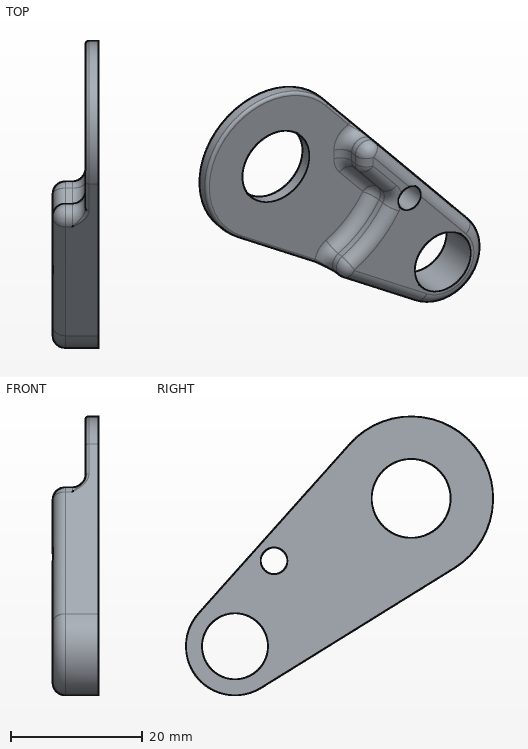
import cadquery as cq
import math

total_thickness = 7.0
overall_length_y = 46.8
overall_length_z = 42.5
plate_thickness = 2.0
large_end_radius = 12.5
small_end_radius = 7.5
small_end_y = -(overall_length_y - large_end_radius - small_end_radius)
small_end_z = -(overall_length_z - large_end_radius - small_end_radius)

large_hole_radius = 6.0
small_hole_radius = 5.0
pin_hole_radius = 2.0
pin_hole_y = -20.85
pin_hole_z = -9.5

step_radius = 20.0
finger_width = 5.0
finger_tip_y = -12.3
corner_radius = 2.0
pad_top_fillet = 1.95
step_base_fillet = 1.95
plate_edge_fillet = 0.5

corner_limit_y = -21.05
slab_size = 140.4
tolerance = 0.05

center_distance = math.hypot(small_end_y, small_end_z)
center_angle = math.atan2(small_end_z, small_end_y)
tangent_offset = math.acos((large_end_radius - small_end_radius) / center_distance)
upper_normal = center_angle - tangent_offset
lower_normal = center_angle + tangent_offset


def on_circle(center_y, center_z, radius, angle):
    return (center_y + radius * math.cos(angle), center_z + radius * math.sin(angle))


def prism(sketch, thickness):
    return sketch.extrude(-thickness)


def link_body():
    """Two round ends joined by their common tangents, at full thickness."""
    upper_large = on_circle(0, 0, large_end_radius, upper_normal)
    lower_large = on_circle(0, 0, large_end_radius, lower_normal)
    large_tip = on_circle(0, 0, large_end_radius, center_angle + math.pi)
    upper_small = on_circle(small_end_y, small_end_z, small_end_radius, upper_normal)
    lower_small = on_circle(small_end_y, small_end_z, small_end_radius, lower_normal)
    small_tip = on_circle(small_end_y, small_end_z, small_end_radius, center_angle)
    outline = (
        cq.Workplane("YZ")
        .moveTo(*upper_large)
        .lineTo(*upper_small)
        .threePointArc(small_tip, lower_small)
        .lineTo(*lower_large)
        .threePointArc(large_tip, upper_large)
        .close()
    )
    return prism(outline, total_thickness)


def finger_zone():
    """Strip inside the upper tangent edge, ending at the finger tip."""
    edge_angle = upper_normal + math.pi / 2
    strip_middle = on_circle(0, 0, large_end_radius - finger_width / 2, upper_normal)
    strip = prism(cq.Workplane("YZ").rect(slab_size, finger_width), total_thickness)
    strip = strip.rotate((0, 0, 0), (1, 0, 0), math.degrees(edge_angle))
    strip = strip.translate((0, *strip_middle))
    beyond_tip = prism(
        cq.Workplane("YZ").center(finger_tip_y - slab_size / 2, 0).rect(slab_size, slab_size),
        total_thickness,
    )
    return strip.intersect(beyond_tip)


def raised_pad(body):
    """Thick lower part with its finger, wall corners rounded."""
    step_cutter = prism(cq.Workplane("YZ").circle(step_radius), total_thickness)
    pad = body.cut(step_cutter.cut(finger_zone()))
    corners = pad.edges("|X").filter(lambda edge: edge.Center().y > corner_limit_y)
    pad = pad.newObject(corners.vals()).fillet(corner_radius)
    return pad.faces("<X").edges().fillet(pad_top_fillet)


def stepped_link():
    """Pad blended into a wide slab, then trimmed to the link outline."""
    body = link_body()
    slab = prism(cq.Workplane("YZ").rect(slab_size, slab_size), plate_thickness)
    blended = slab.union(raised_pad(body))
    slab_face = cq.selectors.BoxSelector(
        (-plate_thickness - tolerance, -slab_size / 3, -slab_size / 3),
        (-plate_thickness + tolerance, slab_size / 3, slab_size / 3),
    )
    blended = blended.edges(slab_face).fillet(step_base_fillet)
    return blended.intersect(body)


def hole(center_y, center_z, radius):
    return prism(cq.Workplane("YZ").center(center_y, center_z).circle(radius), total_thickness)


link = stepped_link()

rim = link.faces(cq.selectors.NearestToPointSelector((-plate_thickness, 0, 0))).edges("%CIRCLE")
rim = rim.filter(lambda edge: abs(edge.radius() - large_end_radius) < tolerance)
link = link.newObject(rim.vals()).fillet(plate_edge_fillet)

link = link.cut(hole(0, 0, large_hole_radius))
link = link.cut(hole(small_end_y, small_end_z, small_hole_radius))
result = link.cut(hole(pin_hole_y, pin_hole_z, pin_hole_radius))